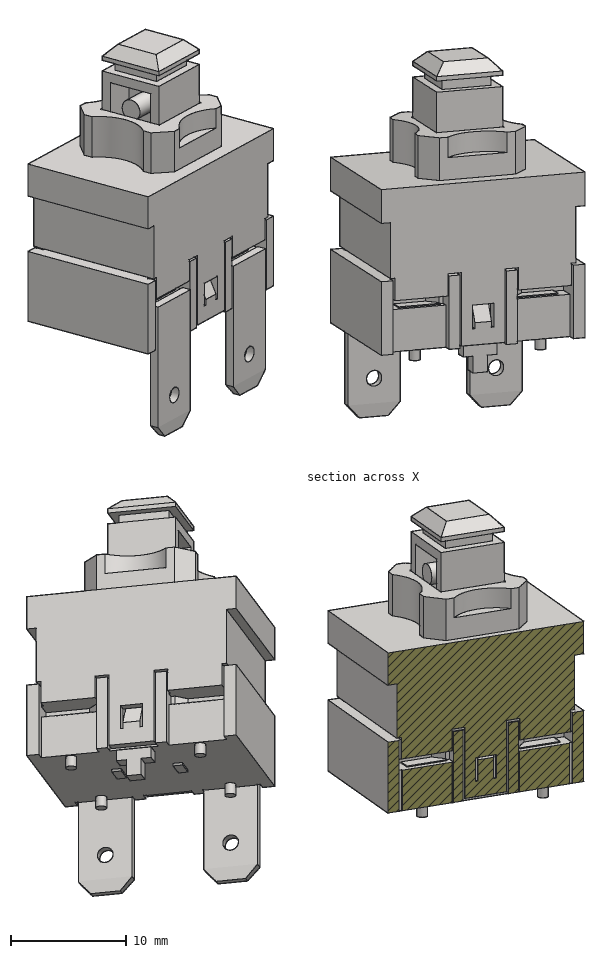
import cadquery as cq


BASE_TOP = 6.55
SKIRT_TOP = 6.75
FLANGE_BOTTOM = 11.75
FLANGE_TOP = 14.77
COLLAR_TOP = 18.58
PLUNGER_TOP = 22.15
CAP_BOTTOM = 23.15
CAP_EDGE_TOP = 23.55
CAP_TOP = 24.58

HOUSING_X = 12.8
FLANGE_Y = 18.8
BODY_Y = 17.1
SKIRT_Y = 16.25
SKIRT_BOTTOM = 4.77
FACE_DEPTH = 0.83
CORE_X = HOUSING_X - 2 * FACE_DEPTH
CORE_Y = 16.63

RIB_INNER_Y = 2.15
RIB_OUTER_Y = 3.15
SLOT_INNER_Y = 2.02
SLOT_OUTER_Y = 3.25
TAB_BOTTOM = 0.2

WINDOW_WIDTH = 1.95
WINDOW_BOTTOM = 1.65
WINDOW_TOP = 3.78
SNAP_WIDTH = 1.52
SNAP_RAMP_BOTTOM = 2.2

PANEL_TOP = 3.78
GAP_SHALLOW = 0.65
GAP_STEP = 0.93
GAP_STEP_Y = 3.5
SILL_SETBACK = 0.4
SILL_HEIGHT = 0.1
SILL_OUTER_Y = 7.35

COLLAR_X = 10.0
COLLAR_Y = 9.95
COLLAR_CHAMFER = 1.45
SCOOP_RADIUS = 3.88
SCOOP_DEPTH = 1.13
RECESS_FLOOR = 16.75

PLUNGER_X = 6.03
PLUNGER_Y = 6.1
WELL_SIZE = 6.23
NECK_INSET = 0.8
CAP_SLOPE = 1.0
CAVITY_WIDTH = 4.25
CAVITY_TOP = 21.25
CAVITY_DEPTH = 2.78
PIN_DIAMETER = 1.9
PIN_Z = 19.18
PIN_SETBACK = 0.1

BLADE_Y = 5.63
BLADE_WIDTH = 4.85
BLADE_OUTER_X = 6.5
BLADE_THICKNESS = 0.83
BLADE_TOP = 3.97
BLADE_SHOULDER = -7.35
OVERALL_HEIGHT = 33.12
BLADE_TIP = CAP_TOP - OVERALL_HEIGHT
BLADE_TIP_WIDTH = 2.65
BLADE_TIP_THICKNESS = 0.65
BLADE_HOLE_DIAMETER = 1.4
BLADE_HOLE_Z = -5.1

FOOT_PIN_DIAMETER = 0.95
FOOT_PIN_LENGTH = 1.0
FOOT_PIN_X = 4.97
FOOT_PIN_Y = 5.8
PEG_X = -5.0
PEG_THICKNESS = 1.25
PEG_WIDTH = 3.1
PEG_TIP_WIDTH = 1.32
PEG_LENGTH = 2.5
PAD_X_MIN = -1.25
PAD_X_MAX = 0.6
PAD_INNER_Y = 2.32
PAD_OUTER_Y = 3.18
PAD_HEIGHT = 0.2
PAD_BEVEL = 0.1

SIDES = (-1, 1)


def block(x_min, x_max, y_min, y_max, z_min, z_max):
    """Axis-aligned box given by its limits."""
    size = (x_max - x_min, y_max - y_min, z_max - z_min)
    return cq.Workplane("XY").box(*size, centered=False).translate((x_min, y_min, z_min))


def centred_block(size_x, size_y, z_min, z_max):
    """Box centred on the plunger axis."""
    return block(-size_x / 2, size_x / 2, -size_y / 2, size_y / 2, z_min, z_max)


def both_x(shape):
    """The shape together with its mirror image across X = 0."""
    return shape.union(shape.mirror("YZ"))


def both_y(shape):
    """The shape together with its mirror image across Y = 0."""
    return shape.union(shape.mirror("XZ"))


def make_upper_body():
    flange = centred_block(HOUSING_X, FLANGE_Y, FLANGE_BOTTOM, FLANGE_TOP)
    body = centred_block(HOUSING_X, BODY_Y, SKIRT_TOP, FLANGE_BOTTOM)
    return flange.union(body)


def make_base():
    """Core with full-length side plates; gaps above the wall panels are cut into it."""
    core = centred_block(CORE_X, CORE_Y, 0, BASE_TOP)
    plate = block(-HOUSING_X / 2, HOUSING_X / 2, CORE_Y / 2, FLANGE_Y / 2, 0, BASE_TOP)
    face_x = CORE_X / 2
    shallow_x = face_x - GAP_SHALLOW
    deep_x = shallow_x - GAP_STEP
    gap = (
        cq.Workplane("XY", origin=(0, 0, PANEL_TOP))
        .polyline([
            (face_x, RIB_OUTER_Y),
            (shallow_x, RIB_OUTER_Y),
            (shallow_x, GAP_STEP_Y),
            (deep_x, GAP_STEP_Y + GAP_STEP),
            (deep_x, CORE_Y / 2),
            (face_x, CORE_Y / 2),
        ])
        .close()
        .extrude(SKIRT_BOTTOM - PANEL_TOP)
    )
    sill = block(
        deep_x, face_x - SILL_SETBACK, GAP_STEP_Y, SILL_OUTER_Y, PANEL_TOP, PANEL_TOP + SILL_HEIGHT
    )
    gap = gap.cut(sill)
    return core.cut(both_x(both_y(gap))).union(both_y(plate))


def make_side_faces():
    """Skirt, centre tab, ribs and snap wedge that stand on the two X faces of the core."""
    outer_x = HOUSING_X / 2
    inner_x = CORE_X / 2
    skirt = block(inner_x, outer_x, -SKIRT_Y / 2, SKIRT_Y / 2, SKIRT_BOTTOM, SKIRT_TOP)
    slot = block(inner_x, outer_x, SLOT_INNER_Y, SLOT_OUTER_Y, SKIRT_BOTTOM, SKIRT_TOP)
    tab = block(inner_x, outer_x, -SLOT_INNER_Y, SLOT_INNER_Y, TAB_BOTTOM, SKIRT_TOP)
    window = block(
        inner_x, outer_x, -WINDOW_WIDTH / 2, WINDOW_WIDTH / 2, WINDOW_BOTTOM, WINDOW_TOP
    )
    rib = block(inner_x, outer_x, RIB_INNER_Y, RIB_OUTER_Y, 0, BASE_TOP)
    snap = (
        cq.Workplane("XZ")
        .polyline([
            (inner_x, WINDOW_BOTTOM),
            (outer_x, WINDOW_BOTTOM),
            (outer_x, SNAP_RAMP_BOTTOM),
            (inner_x, WINDOW_TOP),
        ])
        .close()
        .extrude(SNAP_WIDTH / 2, both=True)
    )
    face = skirt.cut(both_y(slot)).union(tab).cut(window).union(both_y(rib)).union(snap)
    skirt_link = centred_block(CORE_X, SKIRT_Y, BASE_TOP, SKIRT_TOP)
    return both_x(face).union(skirt_link)


def make_collar():
    """Chamfered square with a round scoop in each side; the X scoops keep a floor.

    A square well in the middle clears the plunger.
    """
    collar = centred_block(COLLAR_X, COLLAR_Y, FLANGE_TOP, COLLAR_TOP)
    collar = collar.edges("|Z").chamfer(COLLAR_CHAMFER)
    centre_offset = SCOOP_RADIUS - SCOOP_DEPTH
    end_scoop = (
        cq.Workplane("XY", origin=(0, COLLAR_Y / 2 + centre_offset, FLANGE_TOP))
        .circle(SCOOP_RADIUS)
        .extrude(COLLAR_TOP - FLANGE_TOP)
    )
    side_scoop = (
        cq.Workplane("XY", origin=(COLLAR_X / 2 + centre_offset, 0, RECESS_FLOOR))
        .circle(SCOOP_RADIUS)
        .extrude(COLLAR_TOP - RECESS_FLOOR)
    )
    well = centred_block(WELL_SIZE, WELL_SIZE, RECESS_FLOOR, COLLAR_TOP)
    return collar.cut(both_y(end_scoop)).cut(both_x(side_scoop)).cut(well)


def make_plunger():
    """Square stem with a front cavity holding a round pin, a neck and a bevelled cap."""
    front_y = -PLUNGER_Y / 2
    back_y = front_y + CAVITY_DEPTH
    stem = centred_block(PLUNGER_X, PLUNGER_Y, RECESS_FLOOR, PLUNGER_TOP)
    cavity = block(-CAVITY_WIDTH / 2, CAVITY_WIDTH / 2, front_y, back_y, RECESS_FLOOR, CAVITY_TOP)
    pin = (
        cq.Workplane("XZ", origin=(0, back_y, PIN_Z))
        .circle(PIN_DIAMETER / 2)
        .extrude(CAVITY_DEPTH - PIN_SETBACK)
    )
    neck = centred_block(
        PLUNGER_X - 2 * NECK_INSET, PLUNGER_Y - 2 * NECK_INSET, PLUNGER_TOP, CAP_BOTTOM
    )
    cap_edge = centred_block(PLUNGER_X, PLUNGER_Y, CAP_BOTTOM, CAP_EDGE_TOP)
    cap_top = (
        cq.Workplane("XY", origin=(0, 0, CAP_EDGE_TOP))
        .rect(PLUNGER_X, PLUNGER_Y)
        .workplane(offset=CAP_TOP - CAP_EDGE_TOP)
        .rect(PLUNGER_X - 2 * CAP_SLOPE, PLUNGER_Y - 2 * CAP_SLOPE)
        .loft(ruled=True)
    )
    return stem.cut(cavity).union(pin).union(neck).union(cap_edge).union(cap_top)


def make_blade():
    """Terminal blade with a tapered tip, a round hole and a thin root, on the +Y half of the +X face."""
    inner_x = BLADE_OUTER_X - BLADE_THICKNESS
    centre_x = BLADE_OUTER_X - BLADE_THICKNESS / 2
    blade = (
        cq.Workplane("XY", origin=(centre_x, BLADE_Y, BLADE_SHOULDER))
        .rect(BLADE_THICKNESS, BLADE_WIDTH)
        .extrude(BLADE_TOP - BLADE_SHOULDER)
    )
    tip = (
        cq.Workplane("XY", origin=(centre_x, BLADE_Y, BLADE_SHOULDER))
        .rect(BLADE_THICKNESS, BLADE_WIDTH)
        .workplane(offset=BLADE_TIP - BLADE_SHOULDER)
        .rect(BLADE_TIP_THICKNESS, BLADE_TIP_WIDTH)
        .loft(ruled=True)
    )
    hole = (
        cq.Workplane("YZ", origin=(inner_x, BLADE_Y, BLADE_HOLE_Z))
        .circle(BLADE_HOLE_DIAMETER / 2)
        .extrude(BLADE_THICKNESS)
    )
    root = block(
        CORE_X / 2, inner_x, BLADE_Y - BLADE_WIDTH / 2, BLADE_Y + BLADE_WIDTH / 2, 0, PANEL_TOP
    )
    return blade.union(tip).union(root).cut(hole)


def make_underside():
    """Four round pins, a stepped peg near the -X face and two low pads."""
    peg_min = PEG_X - PEG_THICKNESS / 2
    peg_max = PEG_X + PEG_THICKNESS / 2
    parts = block(peg_min, peg_max, -PEG_WIDTH / 2, PEG_WIDTH / 2, -FOOT_PIN_LENGTH, 0)
    parts = parts.union(
        block(peg_min, peg_max, -PEG_TIP_WIDTH / 2, PEG_TIP_WIDTH / 2, -PEG_LENGTH, 0)
    )
    pad = (
        cq.Workplane("XZ", origin=(0, PAD_OUTER_Y, 0))
        .polyline([
            (PAD_X_MIN, 0),
            (PAD_X_MIN + PAD_BEVEL, -PAD_HEIGHT),
            (PAD_X_MAX, -PAD_HEIGHT),
            (PAD_X_MAX, 0),
        ])
        .close()
        .extrude(PAD_OUTER_Y - PAD_INNER_Y)
    )
    pins = (
        cq.Workplane("XY")
        .pushPoints([(x * FOOT_PIN_X, y * FOOT_PIN_Y) for x in SIDES for y in SIDES])
        .circle(FOOT_PIN_DIAMETER / 2)
        .extrude(-FOOT_PIN_LENGTH)
    )
    return parts.union(both_y(pad)).union(pins)


result = (
    make_upper_body()
    .union(make_base())
    .union(make_side_faces())
    .union(make_collar())
    .union(make_plunger())
    .union(both_y(make_blade()))
    .union(make_underside())
)